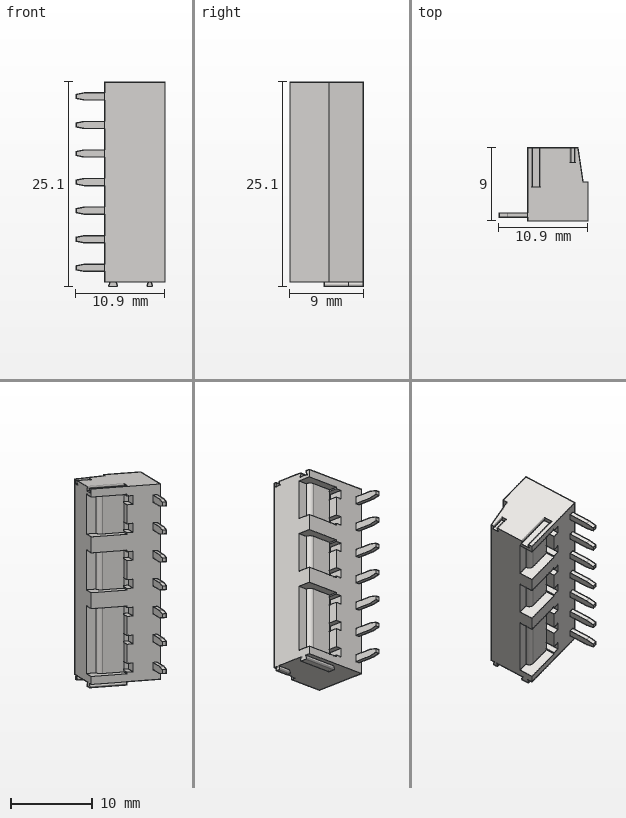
import cadquery as cq

overall_height = 25.05
dovetail_height = 0.55
body_height = overall_height - dovetail_height
body_width = 7.4
body_depth = 9.0
position_count = 7
pitch = body_height / position_count

relief_length = 4.18
relief_shelf = 0.6
relief_width = 1.23

pin_length = 3.5
pin_thickness = 0.55
pin_height = 0.9
pin_inset = 0.45
pin_taper = 1.0
pin_tip_height = 0.5

bridge_pitches = [0, 3, 5, 7]
bridge_height = 2.0
window_length = 4.63
window_depth = 1.8
ledge_depth = 1.15
ledge_setback = 1.25
ledge_radius = 0.6

notch_length = 0.8
notch_height = 1.1
notch_depth = window_depth

dovetails = [
    (1.03, 0.75, 1.2, 4.8, 0.13),
    (5.5, 0.35, 0.78, 1.83, 0.1),
]
crest_radius = 0.13


def box(x_start, x_end, y_start, y_end, z_start, z_end):
    size = (x_end - x_start, y_end - y_start, z_end - z_start)
    return cq.Workplane("XY").box(*size, centered=False).translate((x_start, y_start, z_start))


def housing():
    return (
        cq.Workplane("XY")
        .lineTo(body_width, 0)
        .lineTo(body_width, body_depth - relief_length)
        .lineTo(body_width - relief_shelf, body_depth - relief_length)
        .lineTo(body_width - relief_width, body_depth)
        .lineTo(0, body_depth)
        .close()
        .extrude(body_height)
    )


def pin(z_center):
    """Flat pin along -X, tapered in height towards its tip."""
    half = pin_height / 2
    half_tip = pin_tip_height / 2
    return (
        cq.Workplane("XZ")
        .moveTo(0, z_center - half)
        .lineTo(pin_taper - pin_length, z_center - half)
        .lineTo(-pin_length, z_center - half_tip)
        .lineTo(-pin_length, z_center + half_tip)
        .lineTo(pin_taper - pin_length, z_center + half)
        .lineTo(0, z_center + half)
        .close()
        .extrude(-pin_thickness)
        .translate((0, pin_inset, 0))
    )


def window(z_start, z_end):
    """Window open to -X and +Y, with a raised ledge rounded on its +Y edge."""
    ledge_edge = body_depth - ledge_setback
    return (
        cq.Workplane("XY")
        .moveTo(0, body_depth - window_length)
        .lineTo(ledge_depth, body_depth - window_length)
        .lineTo(ledge_depth, ledge_edge - ledge_radius)
        .radiusArc((ledge_depth + ledge_radius, ledge_edge), ledge_radius)
        .lineTo(window_depth, ledge_edge)
        .lineTo(window_depth, body_depth)
        .lineTo(0, body_depth)
        .close()
        .extrude(z_end - z_start)
        .translate((0, 0, z_start))
    )


def notch(z_center):
    y_end = body_depth - window_length
    half = notch_height / 2
    return box(0, notch_depth, y_end - notch_length, y_end, z_center - half, z_center + half)


def dovetail(x_center, neck_width, crest_width, length, z_neck):
    """Dovetail prism reaching the +Y side, widening downwards from z_neck."""
    half_neck = neck_width / 2
    half_crest = crest_width / 2
    return (
        cq.Workplane("XZ")
        .moveTo(x_center - half_neck, z_neck)
        .lineTo(x_center - half_crest, z_neck - dovetail_height)
        .lineTo(x_center + half_crest, z_neck - dovetail_height)
        .lineTo(x_center + half_neck, z_neck)
        .close()
        .extrude(-length)
        .translate((0, body_depth - length, 0))
    )


def add_dovetail_joint(body, x_center, neck_width, crest_width, length, mouth_radius):
    """Cut a groove with rounded mouth edges and add the matching rib with rounded crest."""
    body = body.cut(dovetail(x_center, neck_width, crest_width, length, body_height))
    for side in (-1, 1):
        edge_point = (x_center + side * neck_width / 2, body_depth - length / 2, body_height)
        body = body.edges(cq.selectors.NearestToPointSelector(edge_point)).fillet(mouth_radius)
    rib = dovetail(x_center, neck_width, crest_width, length, 0)
    return body.union(rib.faces("<Z").edges("|Y").fillet(crest_radius))


result = housing()
for lower, upper in zip(bridge_pitches, bridge_pitches[1:]):
    result = result.cut(window(lower * pitch + bridge_height / 2, upper * pitch - bridge_height / 2))
for joint in dovetails:
    result = add_dovetail_joint(result, *joint)
for position in range(position_count):
    pin_z = (position + 0.5) * pitch
    result = result.cut(notch(pin_z)).union(pin(pin_z))